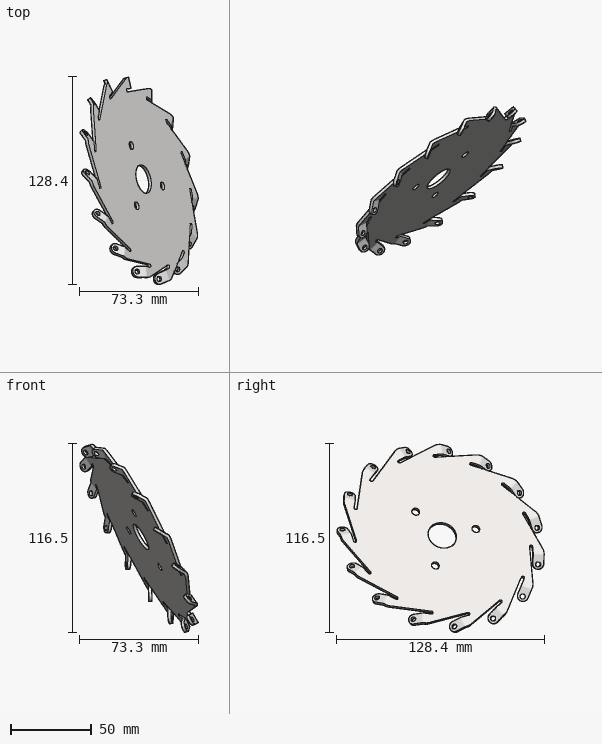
import cadquery as cq
import math

thickness = 2.0
bore_radius = 9.0
mount_hole_radius = 2.5
mount_hole_count = 3
mount_circle_radius = 22.5
mount_start_angle = 43.4

tooth_count = 15
tooth_pitch = 360 / tooth_count
slot_width = 1.9
slot_end_radius = 56.4
slot_end_setback = 0.4
slot_tilt = 5.2
corner_distance = 2.6
corner_radius = 6.4

tab_width = 6.9
bend_distance = 4.5
bend_angle = 31.5
bend_radius = 0.6
tab_length = 8.7
tab_hole_radius = 1.5
tab_hole_to_tip = 3.1

wheel_axis = cq.Vector(0.848, 0.215, 0.485)
first_slot_direction = cq.Vector(-0.474, -0.09, 0.875)


def turned(point, angle):
    """Turn a point of the plate about the wheel axis."""
    cosine = math.cos(math.radians(angle))
    sine = math.sin(math.radians(angle))
    return (point[0] * cosine - point[1] * sine, point[0] * sine + point[1] * cosine)


def slot_point(along, across):
    """Point of the plate given from the first slot's end: along the slot and outward across it."""
    cosine = math.cos(math.radians(slot_tilt))
    sine = math.sin(math.radians(slot_tilt))
    x = slot_end_radius + along * sine + across * cosine
    y = -slot_end_setback - along * cosine + across * sine
    return (x, y)


def make_plate():
    """Flat saw-tooth plate, ending at the bend line of every tooth."""
    slot_side = slot_width / 2
    tab_side = slot_side + tab_width
    bend_outer = slot_point(bend_distance, tab_side)
    bend_inner = slot_point(bend_distance, slot_side)
    slot_outer = slot_point(0, slot_side)
    slot_bottom = slot_point(-slot_side, 0)
    slot_inner = slot_point(0, -slot_side)

    sharp_corner = slot_point(corner_distance, tab_side)
    edge_start = turned(slot_inner, tooth_pitch)
    corner_setback = corner_radius * math.tan(math.radians(tooth_pitch / 2))
    edge_fraction = 1 - corner_setback / math.dist(edge_start, sharp_corner)
    corner_start = tuple(a + edge_fraction * (b - a) for a, b in zip(edge_start, sharp_corner))
    corner_end = slot_point(corner_distance + corner_setback, tab_side)

    outline = cq.Workplane("XY").moveTo(*slot_inner)
    for index in range(1, tooth_count + 1):
        angle = -index * tooth_pitch
        outline = outline.lineTo(*turned(corner_start, angle))
        outline = outline.tangentArcPoint(turned(corner_end, angle), relative=False)
        for point in (bend_outer, bend_inner, slot_outer):
            outline = outline.lineTo(*turned(point, angle))
        outline = outline.threePointArc(turned(slot_bottom, angle), turned(slot_inner, angle))
    plate = outline.close().extrude(thickness)

    bore = cq.Workplane("XY").circle(bore_radius).extrude(thickness)
    mount_holes = (
        cq.Workplane("XY")
        .polarArray(mount_circle_radius, mount_start_angle, 360, mount_hole_count)
        .circle(mount_hole_radius)
        .extrude(thickness)
    )
    return plate.cut(bore).cut(mount_holes)


def bend_point(radius, angle):
    """Point on the bend in the XZ plane; the bend starts at the origin and curls toward -Z."""
    x = radius * math.sin(math.radians(angle))
    z = radius * math.cos(math.radians(angle)) - bend_radius
    return (x, z)


def make_tab():
    """Bend and rounded tab, running along +X from the bend line with its width along +Y."""
    outer_radius = bend_radius + thickness
    inside_end = bend_point(bend_radius, bend_angle)
    bend = (
        cq.Workplane("XZ")
        .moveTo(0, 0)
        .threePointArc(bend_point(bend_radius, bend_angle / 2), inside_end)
        .lineTo(*bend_point(outer_radius, bend_angle))
        .threePointArc(bend_point(outer_radius, bend_angle / 2), (0, thickness))
        .close()
        .extrude(-tab_width)
    )

    tip_radius = tab_width / 2
    straight = tab_length - tip_radius
    tab_plane = cq.Plane(origin=(0, 0, 0)).rotated((0, bend_angle, 0))
    tab_plane.origin = (inside_end[0], 0, inside_end[1])
    flat = (
        cq.Workplane(tab_plane)
        .lineTo(straight, 0)
        .threePointArc((tab_length, tip_radius), (straight, tab_width))
        .lineTo(0, tab_width)
        .close()
        .extrude(thickness)
    )
    hole = (
        cq.Workplane(tab_plane)
        .center(tab_length - tab_hole_to_tip, tip_radius)
        .circle(tab_hole_radius)
        .extrude(thickness)
    )
    return bend.union(flat.cut(hole))


def make_wheel():
    """Plate with a bent tab on every tooth, lying on the XY plane about Z."""
    bend_x, bend_y = slot_point(bend_distance, slot_width / 2)
    first_tab = make_tab().rotate((0, 0, 0), (0, 0, 1), slot_tilt - 90).translate((bend_x, bend_y, 0))
    wheel = make_plate()
    for index in range(tooth_count):
        wheel = wheel.union(first_tab.rotate((0, 0, 0), (0, 0, 1), index * tooth_pitch))
    return wheel


tilted_plane = cq.Plane(origin=(0, 0, 0), xDir=first_slot_direction, normal=wheel_axis)
result = cq.Workplane(make_wheel().val().moved(cq.Location(tilted_plane)))